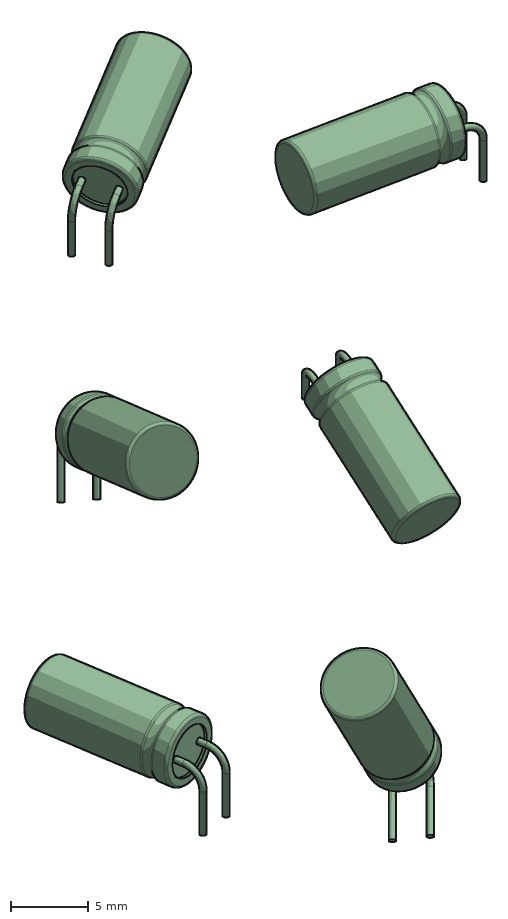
import cadquery as cq
import math


can_diameter = 5.2
can_radius = can_diameter / 2
overall_length = 13.75
rim_radius = 0.2

groove_center = 1.62
groove_depth = 0.2
groove_arc_radius = 0.5
groove_blend_radius = 0.2

seal_diameter = 3.8
seal_recess = 0.2

lead_diameter = 0.5
lead_pitch = 2.55
lead_stub = 0.5
bend_radius = 1.5
overall_height = 7.6
lead_embed = 0.28

can_length = overall_length - lead_stub - bend_radius - lead_diameter / 2
lead_tip_z = can_radius - overall_height


def make_can():
    """Revolve the half profile, drawn as (radius, Y), about the Y axis."""
    center_distance = groove_arc_radius + groove_blend_radius
    center_drop = center_distance - groove_depth
    blend_half_width = math.sqrt(center_distance**2 - center_drop**2)
    arc_share = groove_arc_radius / center_distance
    tangent_half_width = blend_half_width * arc_share
    groove_floor = can_radius - groove_depth
    tangent_radius = groove_floor + groove_arc_radius - center_drop * arc_share

    profile = (
        cq.Workplane("XY")
        .lineTo(can_radius - rim_radius, 0)
        .radiusArc((can_radius, rim_radius), -rim_radius)
        .lineTo(can_radius, groove_center - blend_half_width)
        .radiusArc((tangent_radius, groove_center - tangent_half_width), -groove_blend_radius)
        .threePointArc(
            (groove_floor, groove_center),
            (tangent_radius, groove_center + tangent_half_width),
        )
        .radiusArc((can_radius, groove_center + blend_half_width), -groove_blend_radius)
        .lineTo(can_radius, can_length - rim_radius)
        .radiusArc((can_radius - rim_radius, can_length), -rim_radius)
        .lineTo(0, can_length)
        .close()
    )
    return profile.revolve(360, (0, 0, 0), (0, 1, 0))


def make_seal_recess():
    return cq.Workplane("XZ").circle(seal_diameter / 2).extrude(-seal_recess)


def make_lead(x):
    """Wire leaving the seal along -Y, then bent down to -Z."""
    start_y = seal_recess + lead_embed
    bend_mid = bend_radius * math.sin(math.pi / 4)
    path = (
        cq.Workplane("YZ", origin=(x, 0, 0))
        .moveTo(start_y, 0)
        .lineTo(-lead_stub, 0)
        .threePointArc(
            (-lead_stub - bend_mid, bend_mid - bend_radius),
            (-lead_stub - bend_radius, -bend_radius),
        )
        .lineTo(-lead_stub - bend_radius, lead_tip_z)
    )
    section = cq.Workplane("XZ", origin=(x, start_y, 0)).circle(lead_diameter / 2)
    return section.sweep(path)


result = make_can().cut(make_seal_recess())
for side in (-1, 1):
    result = result.union(make_lead(side * lead_pitch / 2))